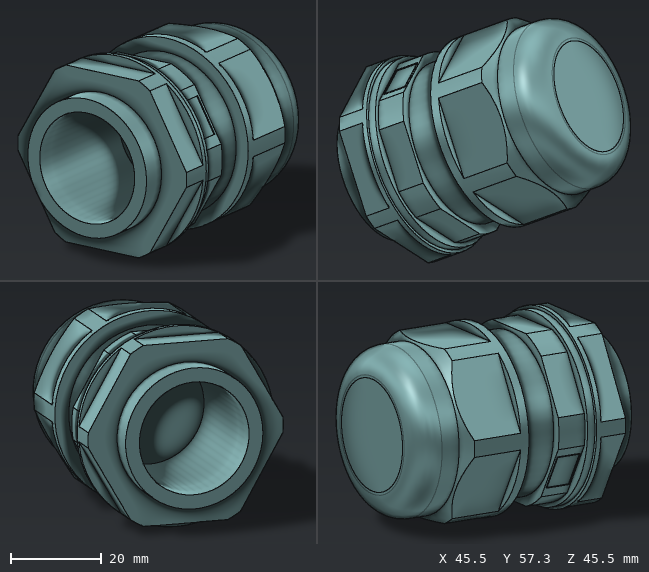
import cadquery as cq
import math


LENGTH = 57.3
NUT_START = 5.75
NUT_FLANGE_START = 12.05
GASKET_START = 13.25
HOUSING_HEX_START = 15.1
HOUSING_HEX_END = 21.9
CAP_START = 30.3
CAP_FLATS_START = 32.45
CAP_BEVEL_START = 44.35
CAP_BEVEL_END = 46.8

BORE_RADIUS = 12.8
THREAD_RADIUS = 16.0
COLLAR_RADIUS = 18.75
GASKET_RADIUS = 22.0
NUT_RADIUS = 22.75
NUT_APOTHEM = 20.5
HOUSING_HEX_RADIUS = 21.0
HOUSING_HEX_APOTHEM = 19.7
CAP_RADIUS = 22.0
CAP_APOTHEM = 19.95
DOME_RADIUS = 19.5
DOME_FILLET = 6.1

LABEL_MIDDLE = 18.35
LABEL_LENGTH = 5.8
LABEL_WIDTH = 9.3
LABEL_DEPTH = 0.25
LABEL_ANGLES = (30, 210)


def cylinder(radius, start, end):
    """Cylinder on the Y axis between two places."""
    return cq.Workplane("XZ", origin=(0, start, 0)).circle(radius).extrude(start - end)


def rounded_hexagon(apothem, radius, start, end):
    """Hexagonal prism, corners toward +X and -X, with the corners turned down to a radius."""
    across_corners = 2 * apothem / math.cos(math.pi / 6)
    hexagon = cq.Workplane("XZ", origin=(0, start, 0)).polygon(6, across_corners).extrude(start - end)
    return hexagon.intersect(cylinder(radius, start, end))


def make_lock_nut():
    """Hexagonal nut with a round flange against the gasket."""
    hexagon = rounded_hexagon(NUT_APOTHEM, NUT_RADIUS, NUT_START, NUT_FLANGE_START)
    flange = cylinder(NUT_RADIUS, NUT_FLANGE_START, GASKET_START)
    return hexagon.union(flange).cut(cylinder(THREAD_RADIUS, NUT_START, GASKET_START))


def make_gasket():
    """Flat ring between the lock nut and the hexagon of the housing."""
    ring = cylinder(GASKET_RADIUS, GASKET_START, HOUSING_HEX_START)
    return ring.cut(cylinder(THREAD_RADIUS, GASKET_START, HOUSING_HEX_START))


def label_recess(angle):
    """Cutter for the shallow rectangular recess in the flat that faces an angle in the XZ plane."""
    block = cq.Workplane("XY").box(2 * LABEL_DEPTH, LABEL_LENGTH, LABEL_WIDTH)
    block = block.translate((HOUSING_HEX_APOTHEM, LABEL_MIDDLE, 0))
    return block.rotate((0, 0, 0), (0, 1, 0), -angle)


def make_housing():
    """Tube with a hexagon, a collar below the cap nut and a neck inside the cap nut."""
    tube = cylinder(THREAD_RADIUS, 0, CAP_BEVEL_START)
    hexagon = rounded_hexagon(
        HOUSING_HEX_APOTHEM, HOUSING_HEX_RADIUS, HOUSING_HEX_START, HOUSING_HEX_END
    )
    collar = cylinder(COLLAR_RADIUS, HOUSING_HEX_END, CAP_START)
    housing = tube.union(hexagon).union(collar).cut(cylinder(BORE_RADIUS, 0, LENGTH))
    for angle in LABEL_ANGLES:
        housing = housing.cut(label_recess(angle))
    return housing


def make_cap_nut():
    """Domed nut with a round flange, six flats and a bevel from the flats to the dome."""
    profile = (
        cq.Workplane("XY")
        .moveTo(0, CAP_START)
        .lineTo(CAP_RADIUS, CAP_START)
        .lineTo(CAP_RADIUS, CAP_BEVEL_START)
        .lineTo(DOME_RADIUS, CAP_BEVEL_END)
        .lineTo(DOME_RADIUS, LENGTH - DOME_FILLET)
        .radiusArc((DOME_RADIUS - DOME_FILLET, LENGTH), -DOME_FILLET)
        .lineTo(0, LENGTH)
        .close()
    )
    turned = profile.revolve(360, (0, 0, 0), (0, 1, 0))
    flange = cylinder(CAP_RADIUS, CAP_START, CAP_FLATS_START)
    hexagon = rounded_hexagon(CAP_APOTHEM, CAP_RADIUS, CAP_FLATS_START, LENGTH)
    cap = turned.intersect(flange.union(hexagon))
    neck_socket = cylinder(THREAD_RADIUS, CAP_START, CAP_BEVEL_START)
    opening = cylinder(BORE_RADIUS, CAP_BEVEL_START, LENGTH)
    return cap.cut(neck_socket).cut(opening)


def make_seal():
    """Plug that closes the bore from the start of the cap nut to the face of its dome."""
    return cylinder(BORE_RADIUS, CAP_START, LENGTH)


lock_nut = make_lock_nut()
gasket = make_gasket()
housing = make_housing()
cap_nut = make_cap_nut()
seal = make_seal()

result = cq.Compound.makeCompound(
    [lock_nut.val(), gasket.val(), housing.val(), cap_nut.val(), seal.val()]
)